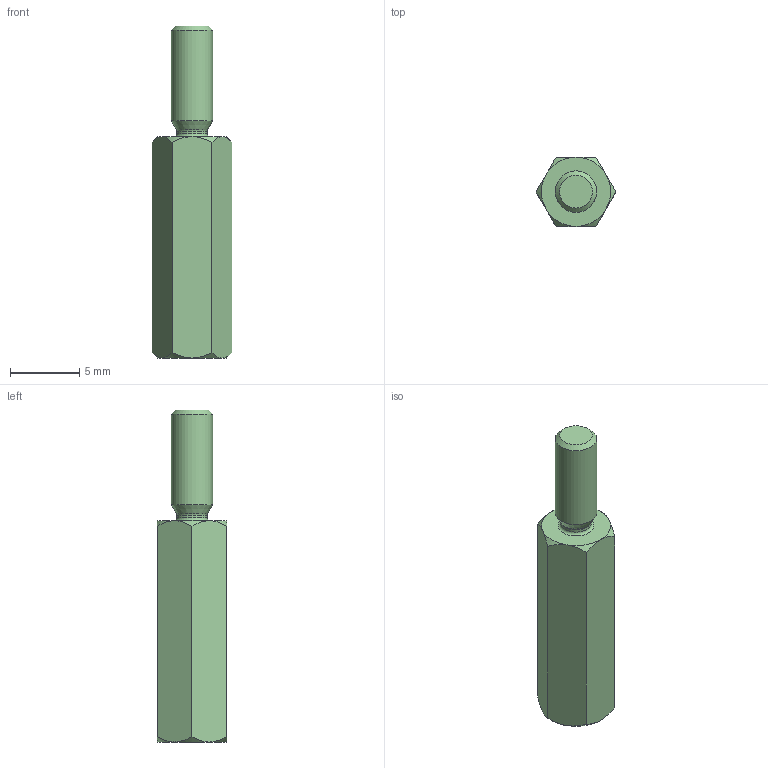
import cadquery as cq
import math

across_flats = 5.0
across_corners = across_flats / math.cos(math.radians(30))
body_length = 16.0
corner_chamfer = (across_corners - across_flats) / 2

overall_length = 24.0
stud_radius = 3.0 / 2
tip_chamfer = 0.31
tip_radius = stud_radius - tip_chamfer
neck_radius = 2.2 / 2
undercut_fillet = 0.2
runout_start = body_length + 0.45
runout_half_angle = math.radians(30)
runout_length = (stud_radius - neck_radius) / math.tan(runout_half_angle)


def make_body():
    """Hexagonal prism with its corners turned off by a 45 degree cone at both ends."""
    prism = cq.Workplane("XY").polygon(6, across_corners).extrude(body_length)
    turned_blank = (
        cq.Workplane("XY")
        .circle(across_corners / 2)
        .extrude(body_length)
        .edges()
        .chamfer(corner_chamfer)
    )
    return prism.intersect(turned_blank)


def make_stud():
    """Revolved stud: filleted root, neck, conical run-out, shank and chamfered tip."""
    fillet_centre_radius = neck_radius + undercut_fillet
    fillet_top = body_length + undercut_fillet
    fillet_mid_offset = undercut_fillet * math.sin(math.radians(45))
    fillet_mid = (fillet_centre_radius - fillet_mid_offset, fillet_top - fillet_mid_offset)
    root_overlap = 1.0
    bend_tangent = undercut_fillet * math.tan(runout_half_angle / 2)
    bend_start = (neck_radius, runout_start - bend_tangent)
    bend_end = (
        neck_radius + bend_tangent * math.sin(runout_half_angle),
        runout_start + bend_tangent * math.cos(runout_half_angle),
    )
    return (
        cq.Workplane("XZ")
        .moveTo(0, body_length - root_overlap)
        .lineTo(fillet_centre_radius, body_length - root_overlap)
        .lineTo(fillet_centre_radius, body_length)
        .threePointArc(fillet_mid, (neck_radius, fillet_top))
        .lineTo(*bend_start)
        .tangentArcPoint(bend_end, relative=False)
        .lineTo(stud_radius, runout_start + runout_length)
        .lineTo(stud_radius, overall_length - tip_chamfer)
        .lineTo(tip_radius, overall_length)
        .lineTo(0, overall_length)
        .close()
        .revolve(360, (0, 0, 0), (0, 1, 0))
    )


result = make_body().union(make_stud())